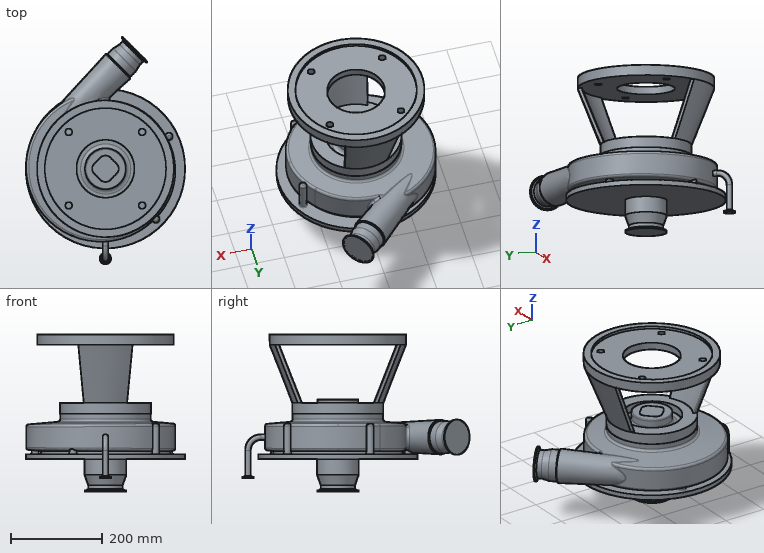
import cadquery as cq
import math

overlap = 5.0
tolerance = 0.001

flange_radius = 150.0
flange_top = 225.0
flange_bottom = 202.0
spigot_radius = 133.0
spigot_depth = 6.0
flange_bore_radius = 63.5
bolt_hole_diameter = 15.0
bolt_spacing = 161.0

collar_radius = 100.0
collar_top = 75.0
collar_bottom = 51.0
collar_bore_radius = 67.0
collar_bore_depth = 18.0
strut_thickness = 9.5
strut_half_width_top = 59.7
strut_half_width_bottom = 47.7
strut_edge_radius = 2.0

hub_radius = 45.0
hub_top = collar_top + 8.0
hub_root_radius = 10.0
hub_edge_radius = 2.0
hub_square = 50.0
hub_square_angle = 45.0
hub_square_corner_radius = 15.0
hub_square_depth = 0.3

neck_radius = 99.5
neck_root_radius = 6.0
neck_root_z = 33.8
casing_face_slope = 5.0
casing_rim_radius = 6.0
casing_base_radius = 149.0
scroll_radius = 164.0
scroll_center = (-10.0, 4.0)
scroll_start_angle = -45.0
scroll_mid_angle = 180.0
scroll_end_angle = 105.0
tongue_start_angle = 95.0
tongue_end_angle = 38.0
blend_angle = 0.0
blend_radius = 153.3
casing_limit_radius = 200.0

plate_radius = 175.0
plate_top = -37.0
plate_bottom = -48.5
cover_radius = 142.0
post_count = 5
post_radius = 8.0
post_circle_radius = 156.0
post_first_angle = -45.0
exposed_post_count = 2
exposed_post_top = 29.5
hidden_post_top = 0.0
post_top_radius = 5.0
post_root_radius = 1.5

suction_radius = 46.0
suction_tube_radius = 38.0
suction_clamp_radius = 45.5
suction_taper_top = -83.0
suction_taper_bottom = -105.3
suction_end = -119.5

outlet_angle = 45.0
outlet_offset = 139.3
outlet_end = 230.9
outlet_start_radius = 30.6
outlet_cone_end = 178.5
outlet_cone_end_radius = 38.2
outlet_step_length = 2.5
outlet_collar_radius = 35.5
outlet_taper_start = 198.5
outlet_taper_end = 214.5
outlet_joint_radius = 5.0
outlet_tube_radius = 31.75
outlet_clamp_radius = 38.75

drain_radius = 6.4
drain_bend_radius = 28.5
drain_y = -197.0
drain_foot_radius = 12.5
drain_end = -90.5

clamp_rim = 2.8
clamp_flare = 3.2
drain_clamp_rim = 3.2
drain_clamp_flare = 3.0


def polar(radius, angle, center=(0.0, 0.0)):
    """XY point at a radius and an angle in degrees from a centre."""
    a = math.radians(angle)
    return (center[0] + radius * math.cos(a), center[1] + radius * math.sin(a))


def cylinder(radius, bottom, top):
    return cq.Workplane("XY").workplane(offset=bottom).circle(radius).extrude(top - bottom)


def revolve_z(points):
    """Solid of revolution about Z from (radius, z) points."""
    return cq.Workplane("XZ").polyline(points).close().revolve(360, (0, 0, 0), (0, 1, 0))


def flared_column(radius, root_radius, bottom, floor, top):
    """Round column with a concave root fillet where it rises from `floor`."""
    root_outer = radius + root_radius
    arc_inset = root_radius * (1 - math.sqrt(0.5))
    return (
        cq.Workplane("XZ")
        .moveTo(0, bottom)
        .lineTo(root_outer, bottom)
        .lineTo(root_outer, floor)
        .threePointArc((radius + arc_inset, floor + arc_inset), (radius, floor + root_radius))
        .lineTo(radius, top)
        .lineTo(0, top)
        .close().revolve(360, (0, 0, 0), (0, 1, 0))
    )


def make_flange():
    """Motor flange with a spigot recess, a bore and four bolt holes."""
    flange = cylinder(flange_radius, flange_bottom, flange_top)
    flange = flange.cut(cylinder(spigot_radius, flange_top - spigot_depth, flange_top))
    return (
        flange.faces(">Z[-2]").workplane(origin=(0, 0, 0))
        .circle(flange_bore_radius).cutThruAll()
        .faces("<Z").workplane(origin=(0, 0, 0))
        .rect(bolt_spacing, bolt_spacing, forConstruction=True)
        .vertices().hole(bolt_hole_diameter)
    )


def make_struts():
    """Two opposite pieces of a conical shell with tapered side edges."""
    shell = revolve_z([
        (collar_radius, collar_top),
        (flange_radius, flange_bottom),
        (flange_radius - strut_thickness, flange_bottom),
        (collar_radius - strut_thickness, collar_top),
    ])
    sides = (
        cq.Workplane("XZ")
        .polyline([
            (-strut_half_width_bottom, collar_top),
            (strut_half_width_bottom, collar_top),
            (strut_half_width_top, flange_bottom),
            (-strut_half_width_top, flange_bottom),
        ])
        .close().extrude(flange_radius, both=True)
    )
    mid_radius = (collar_radius + flange_radius - strut_thickness) / 2
    mid_half_width = (strut_half_width_bottom + strut_half_width_top) / 2
    depth = math.sqrt(mid_radius ** 2 - mid_half_width ** 2)
    inner_side_edges = cq.selectors.BoxSelector(
        (-flange_radius, -depth, collar_top + overlap),
        (flange_radius, depth, flange_bottom - overlap),
    )
    return shell.intersect(sides).edges(inner_side_edges).fillet(strut_edge_radius)


def make_casing():
    """Volute: a scroll outline between two shallow cones, with rounded rims."""
    slope = math.tan(math.radians(casing_face_slope))
    limit_height = neck_root_z - slope * (casing_limit_radius - neck_radius - neck_root_radius)
    apex_height = neck_root_z + slope * (neck_radius + neck_root_radius)
    envelope = revolve_z([
        (0, -apex_height),
        (casing_limit_radius, -limit_height),
        (casing_limit_radius, limit_height),
        (0, apex_height),
    ])
    tongue_mid_angle = (tongue_start_angle + tongue_end_angle) / 2
    outline = (
        cq.Workplane("XY").workplane(offset=-apex_height)
        .moveTo(*polar(casing_base_radius, tongue_start_angle))
        .threePointArc(
            polar(casing_base_radius, tongue_mid_angle),
            polar(casing_base_radius, tongue_end_angle),
        )
        .threePointArc(
            polar(blend_radius, blend_angle),
            polar(scroll_radius, scroll_start_angle, scroll_center),
        )
        .threePointArc(
            polar(scroll_radius, scroll_mid_angle, scroll_center),
            polar(scroll_radius, scroll_end_angle, scroll_center),
        )
        .close()
        .extrude(2 * apex_height)
    )
    casing = outline.intersect(envelope)
    return casing.faces("%CONE").edges().fillet(casing_rim_radius)


def make_neck():
    return flared_column(neck_radius, neck_root_radius, 0.0, neck_root_z, collar_bottom)


def make_collar():
    """Ring on the casing neck, bored to clear the hub."""
    floor = collar_top - collar_bore_depth
    collar = cylinder(collar_radius, collar_bottom, collar_top)
    return collar.cut(cylinder(collar_bore_radius, floor, collar_top))


def make_hub():
    """Round hub standing on the floor of the collar bore, with a rounded square on its end."""
    floor = collar_top - collar_bore_depth
    hub = flared_column(hub_radius, hub_root_radius, floor - overlap, floor, hub_top)
    hub = hub.faces(">Z").edges().fillet(hub_edge_radius)
    square = (
        cq.Workplane("XY").workplane(offset=hub_top - hub_square_depth)
        .transformed(rotate=(0, 0, hub_square_angle))
        .rect(hub_square, hub_square).extrude(hub_square_depth)
        .edges("|Z").fillet(hub_square_corner_radius)
    )
    return hub.cut(square)


def make_base():
    """Base plate with the lower casing cover on it."""
    plate = cylinder(plate_radius, plate_bottom, plate_top)
    return plate.union(cylinder(cover_radius, plate_top - overlap, 0))


def make_post(angle, top):
    """Post standing on the base plate, with a rounded top and a small root fillet."""
    post = flared_column(post_radius, post_root_radius, plate_top - overlap, plate_top, top)
    post = post.faces(">Z").edges().fillet(post_top_radius)
    return post.translate(polar(post_circle_radius, angle) + (0,))


def ferrule_points(tube_radius, clamp_radius, end, rim, flare):
    """Outline of a clamp ferrule that ends at height `end`, pointing down."""
    return [
        (tube_radius, end + rim + flare),
        (clamp_radius - rim, end + rim),
        (clamp_radius, end + rim),
        (clamp_radius, end),
        (0, end),
    ]


def make_suction():
    """Suction nozzle tapering down to a clamp ferrule."""
    return revolve_z([
        (0, plate_bottom + overlap),
        (suction_radius, plate_bottom + overlap),
        (suction_radius, suction_taper_top),
        (suction_tube_radius, suction_taper_bottom),
    ] + ferrule_points(
        suction_tube_radius, suction_clamp_radius, suction_end, clamp_rim, clamp_flare))


def make_outlet():
    """Diverging pipe, built pointing down -Z and then laid along the outlet axis."""
    nozzle = revolve_z([
        (0, 0),
        (outlet_start_radius, 0),
        (outlet_cone_end_radius, -outlet_cone_end),
        (outlet_collar_radius, -outlet_cone_end - outlet_step_length),
        (outlet_collar_radius, -outlet_taper_start),
        (outlet_tube_radius, -outlet_taper_end),
    ] + ferrule_points(
        outlet_tube_radius, outlet_clamp_radius, -outlet_end, clamp_rim, clamp_flare))
    along_x = nozzle.rotate((0, 0, 0), (0, 1, 0), -90)
    return along_x.translate((0, outlet_offset, 0)).rotate((0, 0, 0), (0, 0, 1), outlet_angle)


def make_drain():
    """Tube leaving the casing along -Y and bending down to a small ferrule."""
    bend_start = drain_y + drain_bend_radius
    bend_mid = drain_bend_radius * math.sqrt(0.5)
    path = (
        cq.Workplane("YZ")
        .moveTo(-casing_base_radius, 0)
        .lineTo(bend_start, 0)
        .threePointArc(
            (bend_start - bend_mid, bend_mid - drain_bend_radius),
            (drain_y, -drain_bend_radius),
        )
        .lineTo(drain_y, drain_end)
    )
    tube = (
        cq.Workplane("XZ", origin=(0, -casing_base_radius, 0))
        .circle(drain_radius).sweep(path)
    )
    foot = revolve_z(
        [(0, drain_end + drain_clamp_rim + drain_clamp_flare)]
        + ferrule_points(drain_radius, drain_foot_radius, drain_end, drain_clamp_rim, drain_clamp_flare)
    )
    return tube.union(foot.translate((0, drain_y, 0)))


def is_on_outlet_cone(point):
    """True when a point lies on the conical outside of the outlet pipe."""
    a = math.radians(outlet_angle)
    along = point.x * math.cos(a) + point.y * math.sin(a)
    across = point.y * math.cos(a) - point.x * math.sin(a)
    growth = (outlet_cone_end_radius - outlet_start_radius) / outlet_cone_end
    distance = math.hypot(across - outlet_offset, point.z)
    return abs(distance - outlet_start_radius - growth * along) < tolerance


def make_casing_with_outlet():
    """Casing and outlet pipe with a fillet all along the joint between them."""
    joined = make_casing().union(make_outlet())
    joint = joined.edges().filter(
        lambda edge: edge.geomType() in ("BSPLINE", "ELLIPSE")
        and all(is_on_outlet_cone(edge.positionAt(t)) for t in (0.25, 0.5, 0.75))
    )
    return joint.fillet(outlet_joint_radius)


bodies = [
    make_neck(),
    make_collar(),
    make_hub(),
    make_struts(),
    make_flange(),
    make_base(),
    make_suction(),
    make_drain(),
]
for index in range(post_count):
    angle = post_first_angle + index * 360.0 / post_count
    top = exposed_post_top if index < exposed_post_count else hidden_post_top
    bodies.append(make_post(angle, top))

result = make_casing_with_outlet()
for body in bodies:
    result = result.union(body)